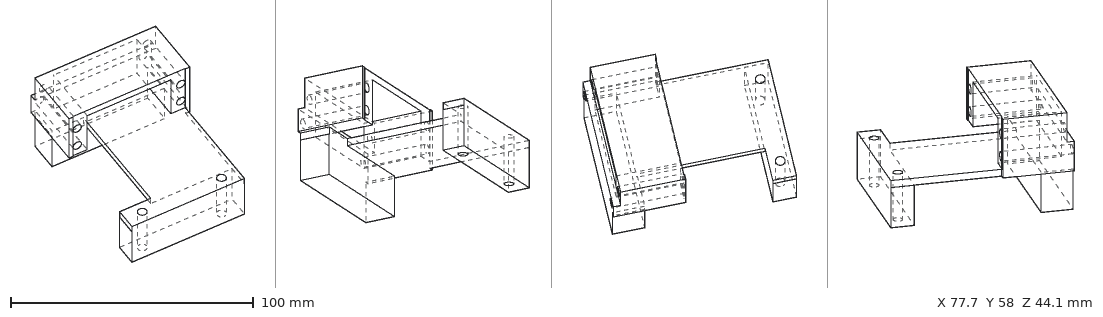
import cadquery as cq

length = 77.7
width = 58.0
height = 44.1

side_wall = 2.0
plate_thickness = 3.1
leg_height = 17.95
front_leg_length = 13.7
rear_leg_length = 10.0
leg_overhang = 0.1
notch_depth = 14.9
plate_top = leg_height + plate_thickness
inner_half_width = width / 2 - side_wall

housing_end = 30.2
side_wall_end = 30.5
roof_thickness = 3.1
lip_thickness = 3.1
lip_drop = 13.05
block_width = 6.9
lip_top = height - lip_drop

hole_diameter = 4.0
block_hole_spacing_y = 49.65
lower_hole_z = height - 18.2
upper_hole_z = height - 8.15
plate_hole_x = 72.6
plate_hole_spacing_y = 38.0


def box_between(x_range, y_range, z_range):
    """Return a box spanning the given (low, high) limits on each axis."""
    limits = (x_range, y_range, z_range)
    sizes = [high - low for low, high in limits]
    corner = tuple(low for low, high in limits)
    return cq.Workplane("XY").box(*sizes, centered=False).translate(corner)


def make_base():
    """Plate on two slightly wider legs, notched between them on the -Y side."""
    inner_y = (-inner_half_width, inner_half_width)
    leg_half_width = inner_half_width + leg_overhang
    leg_y = (-leg_half_width, leg_half_width)
    notch_x = (front_leg_length, length - rear_leg_length)
    notch_y = (-inner_half_width, -inner_half_width + notch_depth)
    plate = box_between((0, length), inner_y, (leg_height, plate_top))
    plate = plate.cut(box_between(notch_x, notch_y, (leg_height, plate_top)))
    front_leg = box_between((0, front_leg_length), leg_y, (0, leg_height))
    rear_leg = box_between((length - rear_leg_length, length), leg_y, (0, leg_height))
    return plate.union(front_leg).union(rear_leg)


def make_housing():
    """Roof, two screw blocks and a front lip around a passage along X."""
    housing = box_between(
        (0, housing_end), (-inner_half_width, inner_half_width), (plate_top, height)
    )
    passage_half_width = inner_half_width - block_width
    passage = box_between(
        (lip_thickness, housing_end),
        (-passage_half_width, passage_half_width),
        (plate_top, height - roof_thickness),
    )
    return housing.cut(passage)


def make_side_walls():
    """Outer walls; the +Y wall also covers the edge of the plate."""
    low_wall = box_between(
        (0, side_wall_end), (-width / 2, -inner_half_width), (plate_top, height)
    )
    high_wall = box_between(
        (0, side_wall_end), (inner_half_width, width / 2), (leg_height, height)
    )
    return low_wall.union(high_wall)


def make_front_step():
    """Space above the lip, across the full width."""
    return box_between((0, lip_thickness), (-width / 2, width / 2), (lip_top, height))


def make_block_holes():
    """Two rows of holes along X through the screw blocks."""
    middle_z = (upper_hole_z + lower_hole_z) / 2
    return (
        cq.Workplane("YZ")
        .center(0, middle_z)
        .rarray(block_hole_spacing_y, upper_hole_z - lower_hole_z, 2, 2)
        .circle(hole_diameter / 2)
        .extrude(side_wall_end)
    )


def make_plate_holes():
    """Two vertical holes through the plate and the rear leg."""
    return (
        cq.Workplane("XY")
        .center(plate_hole_x, 0)
        .rarray(0.8, plate_hole_spacing_y, 1, 2)
        .circle(hole_diameter / 2)
        .extrude(plate_top)
    )


result = (
    make_base()
    .union(make_housing())
    .union(make_side_walls())
    .cut(make_front_step())
    .cut(make_block_holes())
    .cut(make_plate_holes())
)